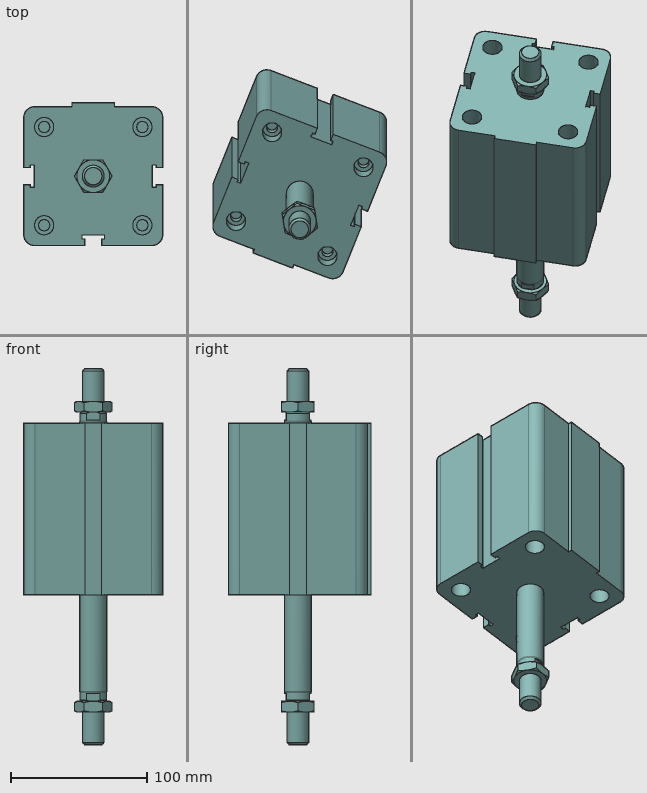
import cadquery as cq
import math

total_length = 276.0
upper_reach = 40.0
lower_reach = 110.0
housing_bottom = lower_reach
housing_top = total_length - upper_reach
housing_height = housing_top - housing_bottom

housing_width = 102.0
corner_radius = 8.3
lug_width = 31.2
lug_height = 2.8

slot_mouth_width = 12.5
slot_inner_width = 16.3
slot_lip = 5.0
slot_depth = 7.7
slot_turns = (-90, 0, 90)

hole_pitch = 72.0
hole_diameter = 14.0
hole_depth = 16.0
pilot_diameter = 8.3
pilot_depth = 24.8

rod_diameter = 20.0
neck_diameter = 19.5
neck_length = 7.2
neck_taper = 0.8
shoulder_chamfer = 0.8
flat_length = 5.8
flats_across = 17.0
thread_diameter = 16.0
thread_length = 32.0
tip_chamfer_width = 1.7
tip_chamfer_height = 2.0

nut_across_flats = 24.0
nut_across_corners = nut_across_flats / math.cos(math.pi / 6)
nut_height = 8.0
nut_chamfer_angle = 30.0
nut_chamfer_width = (nut_across_corners - nut_across_flats) / 2
nut_chamfer_height = nut_chamfer_width * math.tan(math.radians(nut_chamfer_angle))


def make_bar(width, y_start, y_end):
    """Rectangular bar as tall as the housing and centred on X = 0."""
    length = y_end - y_start
    bar = cq.Workplane("XY").box(width, length, housing_height, centered=(True, False, False))
    return bar.translate((0, y_start, housing_bottom))


def make_t_slot():
    """Material removed by the T-slot of the -Y side."""
    side = -housing_width / 2
    mouth = make_bar(slot_mouth_width, side, side + slot_depth)
    inner = make_bar(slot_inner_width, side + slot_lip, side + slot_depth)
    return mouth.union(inner)


def add_corner_holes(body, face):
    """Sink the four stepped holes into one end face."""
    return (
        body.faces(face)
        .workplane(origin=(0, 0, 0))
        .rect(hole_pitch, hole_pitch, forConstruction=True)
        .vertices()
        .cboreHole(pilot_diameter, hole_diameter, hole_depth, pilot_depth)
    )


def make_housing():
    side = housing_width / 2
    block = make_bar(housing_width, -side, side).edges("|Z").fillet(corner_radius)
    body = block.union(make_bar(lug_width, 0, side + lug_height))
    for turn in slot_turns:
        body = body.cut(make_t_slot().rotate((0, 0, 0), (0, 0, 1), turn))
    for face in (">Z", "<Z"):
        body = add_corner_holes(body, face)
    return body.faces(">Z").workplane(origin=(0, 0, 0)).hole(rod_diameter)


def make_half_rod():
    """Upper half of the rod, from its mid-length at Z = 0 to the thread tip."""
    tip = total_length / 2
    shoulder = tip - thread_length
    neck_start = shoulder - neck_length
    rod_radius = rod_diameter / 2
    neck_radius = neck_diameter / 2
    thread_radius = thread_diameter / 2
    profile = [
        (0, 0),
        (rod_radius, 0),
        (rod_radius, neck_start),
        (neck_radius, neck_start + neck_taper),
        (neck_radius, shoulder - shoulder_chamfer),
        (neck_radius - shoulder_chamfer, shoulder),
        (thread_radius, shoulder),
        (thread_radius, tip - tip_chamfer_height),
        (thread_radius - tip_chamfer_width, tip),
        (0, tip),
    ]
    half = cq.Workplane("XZ").polyline(profile).close().revolve(360, (0, 0, 0), (0, 1, 0))
    flat_depth = rod_radius - flats_across / 2
    flat_cut = cq.Workplane("XY").box(rod_diameter, flat_depth, flat_length)
    for side in (-1, 1):
        flat_y = side * (flats_across + flat_depth) / 2
        half = half.cut(flat_cut.translate((0, flat_y, shoulder - flat_length / 2)))
    return half


def make_rod():
    upper_half = make_half_rod()
    return upper_half.union(upper_half.mirror("XY")).translate((0, 0, total_length / 2))


def make_nut(base_z):
    """Hexagonal nut with its corners chamfered at both ends."""
    face_radius = nut_across_flats / 2
    tip_radius = nut_across_corners / 2
    envelope_profile = [
        (0, 0),
        (face_radius, 0),
        (tip_radius, nut_chamfer_height),
        (tip_radius, nut_height - nut_chamfer_height),
        (face_radius, nut_height),
        (0, nut_height),
    ]
    envelope = cq.Workplane("XZ").polyline(envelope_profile).close().revolve(360, (0, 0, 0), (0, 1, 0))
    hexagon = cq.Workplane("XY").polygon(6, nut_across_corners).extrude(nut_height)
    bore = cq.Workplane("XY").circle(thread_diameter / 2).extrude(nut_height)
    return hexagon.intersect(envelope).cut(bore).translate((0, 0, base_z))


housing = make_housing()
rod = make_rod()
lower_nut_base = thread_length - nut_height
upper_nut_base = total_length - thread_length
nuts = [make_nut(base_z) for base_z in (lower_nut_base, upper_nut_base)]

result = cq.Compound.makeCompound([housing.val(), rod.val(), *[nut.val() for nut in nuts]])